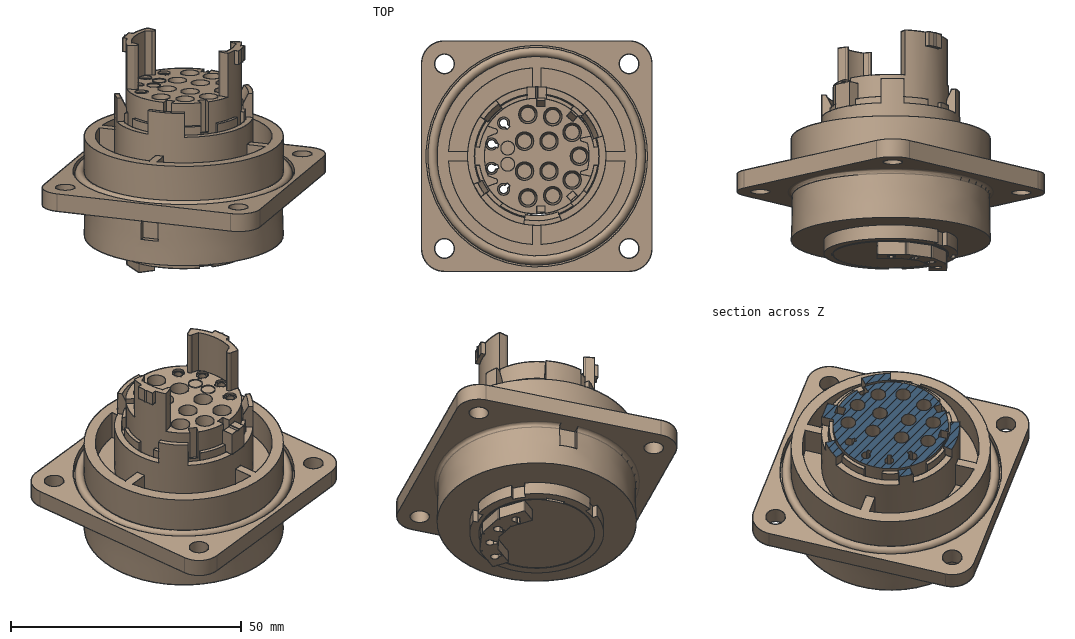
import cadquery as cq
import math

total_height = 50.0
foot_top = 3.0
collar_top = 6.0
window_bottom = 11.3
flare_bottom = 15.8
flange_bottom = 16.7
flange_thickness = 4.0
flange_top = flange_bottom + flange_thickness
well_floor = 22.0
rim_top = 28.6
sleeve_top = 33.1
shelf_top = 34.9
finger_top = 38.5
insert_top = 40.0

flange_side = 50.0
flange_corner_radius = 5.0
mount_spacing = 40.0
mount_hole_diameter = 4.2
seal_groove_diameter = 48.0
seal_groove_depth = 1.7
seal_section_radius = 1.05
seal_path_radius = 22.55

rim_diameter = 43.2
barrel_end_diameter = 43.2
barrel_neck_diameter = 42.8
flare_width = 0.85
well_diameter = 38.3
sleeve_diameter = 30.0
sleeve_radius = sleeve_diameter / 2
sleeve_bore_diameter = 27.1
channel_depth = 1.5
shelf_diameter = 26.7
insert_diameter = 25.1
insert_radius = insert_diameter / 2
insert_protrusion = 0.2
rib_width_along_x = 2.0
rib_width_along_y = 1.8
window_width = 3.9
window_depth = 1.5

collar_diameter = 29.0
collar_notch_root_diameter = 26.8
collar_notch_angle = 12.0
collar_notch_centers = (185, 235, 310)

finger_spans = ((17, 42), (126, 145), (204, 216), (259, 291))
finger_inner_radius = 12.9
finger_tip_radius = 14.0
finger_chamfer_height = 2.25
key_width = 4.2
ridge_width = 0.6
ridge_height = 0.4
ridge_overhang = 0.15

slit_spans = ((36, 43), (261, 279))
slit_inner_radius = 12.45
slit_outer_radius = 12.85

shelf_gap_width = 4.0
shelf_gap_angles = (0, 45, 135, 180, 225, 315)

edge_slot_width = 1.8
edge_slot_inner_radius = 10.8
edge_slot_ramp_radius = 12.1
edge_slot_outer_radius = 12.65
edge_slot_ramp_drop = 2.5
diagonal_slot_angle = 48.5
straight_slot_offset = 0.9

cavity_circle_radius = 9.25
cavity_pitch_angle = 34.0
inner_cavity_x = 2.65
inner_cavity_y = 3.25
cavity_mouth_diameter = 4.0
cavity_bore_diameter = 3.1
cavity_taper_depth = 3.0
cavity_depth = 12.0
signal_circle_radius = 10.15
signal_angles = (135, 165, 195, 225)
signal_hole_diameter = 1.8
signal_mouth_diameter = 2.6
signal_mouth_depth = 0.5
signal_key_width = 0.8
signal_key_reach = 1.5
disc_recess_diameter = 3.0
disc_recess_x = -6.3
disc_recess_y = 1.75
disc_recess_depth = 0.2

foot_inner_radius = 8.3
foot_outer_radius = 12.15
foot_width = 6.2
foot_edge_radius = 0.15

arm_wall_radius = 11.35
left_arm_half_width = 6.55
left_arm_lobe_width = 2.3
left_arm_tip_x = 8.5
right_arm_half_width = 4.35
right_arm_lobe_width = 1.5
right_arm_tip_x = 9.45
lip_height = 3.1
lip_width = 3.9
lip_outer_radius = 13.4
lip_ridge_width = 0.6
lip_ridge_height = 0.25


def disc(diameter, bottom, top):
    return cq.Workplane("XY", origin=(0, 0, bottom)).circle(diameter / 2).extrude(top - bottom)


def tube(outer_diameter, inner_diameter, bottom, top):
    return disc(outer_diameter, bottom, top).cut(disc(inner_diameter, bottom, top))


def block(x_range, y_range, z_range):
    spans = (x_range, y_range, z_range)
    lengths = [high - low for low, high in spans]
    lows = [low for low, high in spans]
    return cq.Workplane("XY", origin=tuple(lows)).box(*lengths, centered=False)


def radial_block(angle, inner, outer, width, bottom, top, side_offset=0.0):
    half = width / 2
    bar = block((inner, outer), (side_offset - half, side_offset + half), (bottom, top))
    return bar.rotate((0, 0, 0), (0, 0, 1), angle)


def polar(radius, angle):
    return (radius * math.cos(math.radians(angle)), radius * math.sin(math.radians(angle)))


def turned_sector(profile, start, end):
    """Revolve a closed (radius, z) profile from one angle to another."""
    sector = cq.Workplane("XZ").polyline(profile).close().revolve(end - start, (0, 0), (0, 1))
    return sector.rotate((0, 0, 0), (0, 0, 1), start)


def ring_sector(inner, outer, bottom, top, start, end):
    profile = [(inner, bottom), (outer, bottom), (outer, top), (inner, top)]
    return turned_sector(profile, start, end)


def make_flange():
    flange = (
        cq.Workplane("XY", origin=(0, 0, flange_bottom))
        .rect(flange_side, flange_side)
        .extrude(flange_thickness)
        .edges("|Z")
        .fillet(flange_corner_radius)
        .faces(">Z")
        .workplane()
        .rect(mount_spacing, mount_spacing, forConstruction=True)
        .vertices()
        .hole(mount_hole_diameter)
    )
    groove_floor = flange_top - seal_groove_depth
    return flange.cut(tube(seal_groove_diameter, rim_diameter, groove_floor, flange_top))


def make_seal():
    center_height = flange_top - seal_groove_depth + 0.95 * seal_section_radius
    return (
        cq.Workplane("XZ", origin=(0, 0, 0))
        .center(seal_path_radius, center_height)
        .circle(seal_section_radius)
        .revolve(360, (-seal_path_radius, 0), (-seal_path_radius, 1))
    )


def make_barrel():
    neck = barrel_neck_diameter / 2
    flare_height = flange_bottom - flare_bottom
    barrel = (
        cq.Workplane("XZ")
        .moveTo(0, collar_top)
        .lineTo(barrel_end_diameter / 2, collar_top)
        .lineTo(neck, flare_bottom)
        .threePointArc(
            (neck + 0.29 * flare_width, flare_bottom + 0.71 * flare_height),
            (neck + flare_width, flange_bottom),
        )
        .lineTo(0, flange_bottom)
        .close()
        .revolve(360, (0, 0), (0, 1))
    )
    wall = barrel_end_diameter / 2
    window = radial_block(270, wall - window_depth, wall + flare_width, window_width,
                          window_bottom, flange_bottom)
    return barrel.cut(window)


def make_rim():
    rim = disc(rim_diameter, flange_bottom, rim_top).cut(disc(well_diameter, well_floor, rim_top))
    reach = well_diameter / 2 + 0.5
    rib_along_x = block((-reach, reach), (-rib_width_along_x / 2, rib_width_along_x / 2),
                        (well_floor, rim_top))
    rib_along_y = block((-rib_width_along_y / 2, rib_width_along_y / 2), (-reach, reach),
                        (well_floor, rim_top))
    return rim.union(rib_along_x).union(rib_along_y)


def make_finger_ring():
    """The crown above the sleeve, beveled inside and cut into separate fingers."""
    profile = [
        (finger_inner_radius, well_floor),
        (sleeve_radius, well_floor),
        (sleeve_radius, finger_top),
        (finger_tip_radius, finger_top),
        (finger_inner_radius, finger_top - finger_chamfer_height),
    ]
    ring = cq.Workplane("XZ").polyline(profile).close().revolve(360, (0, 0), (0, 1))
    for index, (start, end) in enumerate(finger_spans):
        previous_end = finger_spans[index - 1][1]
        gap_angle = (start - previous_end) % 360
        gap = ring_sector(finger_inner_radius - 0.5, sleeve_radius + 0.5, sleeve_top, finger_top,
                          previous_end, previous_end + gap_angle)
        ring = ring.cut(gap)
    return ring


def make_key():
    key = radial_block(90, insert_radius - 0.5, sleeve_radius, key_width, sleeve_top, finger_top)
    ridge_length = sleeve_radius + ridge_overhang - insert_radius
    ridge = (
        cq.Workplane("XZ", origin=(0, sleeve_radius + ridge_overhang, 0))
        .polyline([(-ridge_width / 2, finger_top), (ridge_width / 2, finger_top),
                   (0, finger_top + ridge_height)])
        .close()
        .extrude(ridge_length)
    )
    return key.union(ridge)


def make_sleeve():
    sleeve = make_finger_ring().union(disc(sleeve_bore_diameter, well_floor, sleeve_top))
    channel = tube(sleeve_bore_diameter, insert_diameter - 0.5, sleeve_top - channel_depth, sleeve_top)
    return sleeve.cut(channel).union(make_key())


def make_shelf():
    shelf_bottom = sleeve_top - channel_depth
    shelf = disc(shelf_diameter, shelf_bottom, shelf_top)
    outer = shelf_diameter / 2
    for angle in shelf_gap_angles:
        shelf = shelf.cut(radial_block(angle, insert_radius - 1, outer + 0.5, shelf_gap_width,
                                       shelf_bottom, shelf_top))
    return shelf


def make_arm(half_width, lobe_width, tip_x):
    """Prism for an arm on the +X side: a wall with an inward lobe at each end.

    It reaches past the insert, whose cylinder forms the outer face of the arm.
    """
    edge_x = math.sqrt(insert_radius**2 - half_width**2)
    beyond_x = insert_radius + 1
    lobe_inner_y = half_width - lobe_width
    wall_x = math.sqrt(arm_wall_radius**2 - lobe_inner_y**2)
    lobe_radius = lobe_width / 4
    lobe_center_y = half_width - lobe_width / 2
    lobe_center_x = tip_x + lobe_radius
    return (
        cq.Workplane("XY", origin=(0, 0, insert_top))
        .moveTo(edge_x, -half_width)
        .lineTo(beyond_x, -half_width)
        .lineTo(beyond_x, half_width)
        .lineTo(edge_x, half_width)
        .lineTo(lobe_center_x, lobe_center_y + lobe_radius)
        .threePointArc((tip_x, lobe_center_y), (lobe_center_x, lobe_center_y - lobe_radius))
        .lineTo(wall_x, lobe_inner_y)
        .threePointArc((arm_wall_radius, 0), (wall_x, -lobe_inner_y))
        .lineTo(lobe_center_x, lobe_radius - lobe_center_y)
        .threePointArc((tip_x, -lobe_center_y), (lobe_center_x, -lobe_center_y - lobe_radius))
        .close()
        .extrude(total_height - insert_top)
    )


def make_lip():
    lip_bottom = total_height - lip_height
    lip = radial_block(0, arm_wall_radius + 0.5, lip_outer_radius, lip_width, lip_bottom, total_height)
    ridge = (
        cq.Workplane("XY", origin=(0, 0, lip_bottom))
        .polyline([(lip_outer_radius, -lip_ridge_width / 2), (lip_outer_radius, lip_ridge_width / 2),
                   (lip_outer_radius + lip_ridge_height, 0)])
        .close()
        .extrude(lip_height)
    )
    return lip.union(ridge)


def make_insert():
    """The contact insert and its two upright arms, cut from one tall cylinder."""
    around_arms = disc(insert_diameter + 1, insert_top, total_height)
    left_arm = make_arm(left_arm_half_width, left_arm_lobe_width, left_arm_tip_x)
    right_arm = make_arm(right_arm_half_width, right_arm_lobe_width, right_arm_tip_x)
    around_arms = around_arms.cut(left_arm.rotate((0, 0, 0), (0, 0, 1), 180)).cut(right_arm)
    insert = disc(insert_diameter, sleeve_top - channel_depth, total_height).cut(around_arms)
    lip = make_lip()
    return insert.union(lip).union(lip.rotate((0, 0, 0), (0, 0, 1), 180))


def make_collar():
    collar = disc(collar_diameter, foot_top, collar_top)
    for center in collar_notch_centers:
        notch = ring_sector(collar_notch_root_diameter / 2, collar_diameter / 2 + 0.5,
                            foot_top, collar_top,
                            center - collar_notch_angle / 2, center + collar_notch_angle / 2)
        collar = collar.cut(notch)
    return collar.union(disc(insert_diameter, foot_top - insert_protrusion, collar_top))


def make_feet():
    feet = cq.Workplane("XY")
    for angle in signal_angles:
        foot = radial_block(0, foot_inner_radius, foot_outer_radius, foot_width, 0, foot_top)
        foot = foot.edges("|Z").fillet(foot_edge_radius)
        feet = feet.union(foot.rotate((0, 0, 0), (0, 0, 1), angle))
    return feet


def edge_slot(angle, side_offset=0.0):
    profile = [
        (edge_slot_inner_radius, insert_top),
        (edge_slot_inner_radius, sleeve_top - edge_slot_ramp_drop),
        (edge_slot_ramp_radius, sleeve_top),
        (edge_slot_outer_radius, sleeve_top),
        (edge_slot_outer_radius, insert_top),
    ]
    slot = cq.Workplane("XZ").polyline(profile).close().extrude(edge_slot_width / 2, both=True)
    return slot.translate((0, side_offset, 0)).rotate((0, 0, 0), (0, 0, 1), angle)


def make_edge_slots():
    slots = edge_slot(diagonal_slot_angle).union(edge_slot(-diagonal_slot_angle))
    slots = slots.union(edge_slot(90, -straight_slot_offset))
    return slots.union(edge_slot(270, straight_slot_offset))


def make_power_cavities():
    centers = [polar(cavity_circle_radius, step * cavity_pitch_angle) for step in range(-3, 4)]
    centers += [(x, y) for x in (-inner_cavity_x, inner_cavity_x)
                for y in (-inner_cavity_y, inner_cavity_y)]
    half_step = (cavity_mouth_diameter - cavity_bore_diameter) / 2
    taper = math.degrees(math.atan(half_step / cavity_taper_depth))
    mouths = cq.Workplane("XY", origin=(0, 0, insert_top)).pushPoints(centers)
    cavities = mouths.circle(cavity_bore_diameter / 2).extrude(-cavity_depth)
    return cavities.union(
        mouths.circle(cavity_mouth_diameter / 2).extrude(-cavity_taper_depth, taper=taper)
    )


def make_signal_holes():
    centers = [polar(signal_circle_radius, angle) for angle in signal_angles]
    top = cq.Workplane("XY", origin=(0, 0, insert_top)).pushPoints(centers)
    holes = top.circle(signal_hole_diameter / 2).extrude(-insert_top)
    holes = holes.union(top.circle(signal_mouth_diameter / 2).extrude(-signal_mouth_depth))
    for angle in signal_angles:
        keyway = radial_block(angle, signal_circle_radius - signal_key_reach,
                              signal_circle_radius, signal_key_width, 0, insert_top)
        holes = holes.union(keyway)
    return holes


def make_disc_recesses():
    return (
        cq.Workplane("XY", origin=(0, 0, insert_top))
        .pushPoints([(disc_recess_x, disc_recess_y), (disc_recess_x, -disc_recess_y)])
        .circle(disc_recess_diameter / 2)
        .extrude(-disc_recess_depth)
    )


def make_slits():
    slits = cq.Workplane("XY")
    for start, end in slit_spans:
        slits = slits.union(ring_sector(slit_inner_radius, slit_outer_radius, 0, shelf_top, start, end))
    return slits


body = make_flange()
body = body.union(make_barrel()).union(make_rim()).union(make_seal())
body = body.union(make_collar()).union(make_feet())
body = body.union(make_sleeve()).union(make_shelf()).union(make_insert())

body = body.cut(make_power_cavities()).cut(make_signal_holes())
body = body.cut(make_edge_slots()).cut(make_slits())
result = body.cut(make_disc_recesses()).clean()